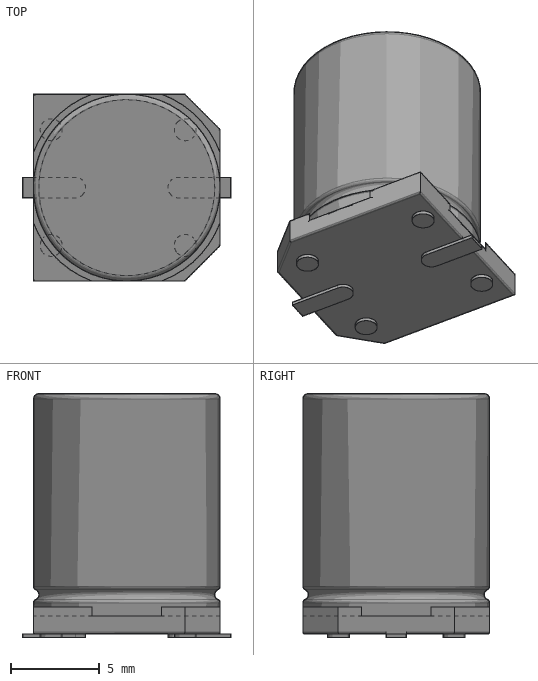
import cadquery as cq
import math

total_height = 13.7
foot_height = 0.2
rim_fillet = 0.1
base_top = 1.71
seat_floor = 1.22

base_side = 10.5
corner_cut = 1.99
seat_radius = 5.6

can_radius = base_side / 2
can_top_fillet = 0.3
groove_height = 2.41
groove_depth = 0.3
groove_lip_radius = 0.2
groove_root_radius = 0.3

terminal_span = 11.7
terminal_width = 1.15
terminal_inner_end = 2.32
foot_radius = 0.62
foot_y = 3.25
left_foot_x = -4.25
right_foot_x = 3.29


def make_base():
    half = base_side / 2
    cut = half - corner_cut
    outline = [
        (-half, -half),
        (cut, -half),
        (half, -cut),
        (half, cut),
        (cut, half),
        (-half, half),
    ]
    base = (
        cq.Workplane("XY", origin=(0, 0, foot_height))
        .polyline(outline)
        .close()
        .extrude(base_top - foot_height)
        .faces("<Z")
        .edges()
        .fillet(rim_fillet)
    )
    square_edge = cq.Workplane("XY", origin=(0, 0, foot_height)).box(
        base_side, terminal_width, rim_fillet, centered=(True, True, False)
    )
    seat = (
        cq.Workplane("XY", origin=(0, 0, seat_floor))
        .circle(seat_radius)
        .extrude(base_top - seat_floor)
    )
    return base.union(square_edge).cut(seat)


def make_can():
    radius_sum = groove_lip_radius + groove_root_radius
    blend_angle = math.acos(1 - groove_depth / radius_sum)
    half_groove = radius_sum * math.sin(blend_angle)

    def lip_point(angle, side):
        inset = groove_lip_radius * (1 - math.cos(angle))
        rise = half_groove - groove_lip_radius * math.sin(angle)
        return (can_radius - inset, groove_height + side * rise)

    profile = (
        cq.Workplane("XZ")
        .moveTo(0, seat_floor)
        .lineTo(can_radius, seat_floor)
        .lineTo(*lip_point(0, -1))
        .threePointArc(lip_point(blend_angle / 2, -1), lip_point(blend_angle, -1))
        .threePointArc((can_radius - groove_depth, groove_height), lip_point(blend_angle, 1))
        .threePointArc(lip_point(blend_angle / 2, 1), lip_point(0, 1))
        .lineTo(can_radius, total_height)
        .lineTo(0, total_height)
        .close()
    )
    can = profile.revolve(360, (0, 0, 0), (0, 1, 0))
    return can.faces(">Z").edges().fillet(can_top_fillet)


def make_terminal(side):
    round_center = terminal_inner_end + terminal_width / 2
    strip_length = terminal_span / 2 - round_center
    strip = cq.Workplane("XY").box(strip_length, terminal_width, foot_height, centered=(True, True, False))
    strip = strip.translate((side * (round_center + strip_length / 2), 0, 0))
    inner_end = (
        cq.Workplane("XY")
        .center(side * round_center, 0)
        .circle(terminal_width / 2)
        .extrude(foot_height)
    )
    return strip.union(inner_end)


def make_feet():
    centers = [(x, y) for x in (left_foot_x, right_foot_x) for y in (-foot_y, foot_y)]
    return cq.Workplane("XY").pushPoints(centers).circle(foot_radius).extrude(foot_height)


result = make_base().union(make_can()).union(make_feet())
for side in (-1, 1):
    result = result.union(make_terminal(side))